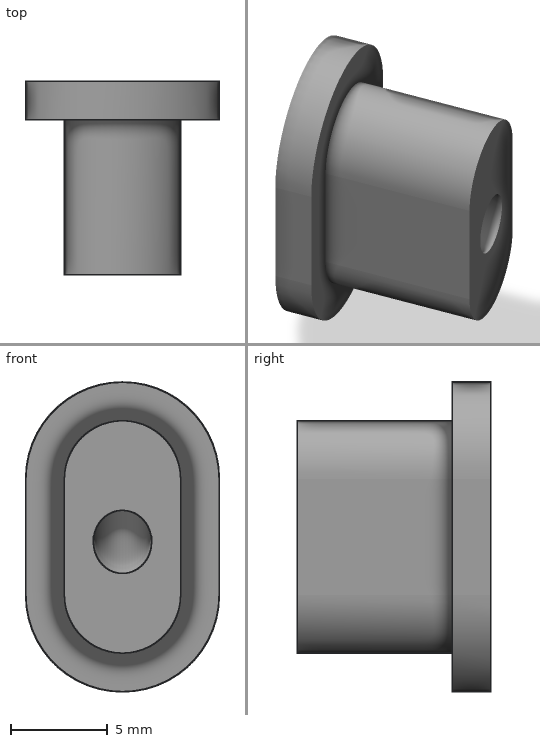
import cadquery as cq
import math

flange_width = 10.0
flange_height = 16.0
flange_thickness = 2.0

rim = 2.0
stem_width = flange_width - 2 * rim
stem_height = flange_height - 2 * rim
stem_length = 8.0

hole_diameter = 3.0
hole_tilt = 22.5
hole_center_z = -0.25


def upright_slot(width, height, start_y, length):
    """Slot-shaped block, long along Z, reaching from start_y toward -Y."""
    return (
        cq.Workplane("XZ", origin=(0, start_y, 0))
        .slot2D(height, width, 90)
        .extrude(length)
    )


def tilted_hole():
    """Cutter along the sloping hole axis, long enough to pass through both end faces."""
    radius = hole_diameter / 2
    slope_length = (stem_length + flange_thickness) / math.cos(math.radians(hole_tilt))
    overrun = radius
    return (
        cq.Workplane("XZ", origin=(0, slope_length + overrun, 0))
        .circle(radius)
        .extrude(slope_length + 2 * overrun)
        .rotate((0, 0, 0), (1, 0, 0), hole_tilt)
        .translate((0, -stem_length, hole_center_z))
    )


flange = upright_slot(flange_width, flange_height, flange_thickness, flange_thickness)
stem = upright_slot(stem_width, stem_height, 0, stem_length)

result = flange.union(stem).cut(tilted_hole())